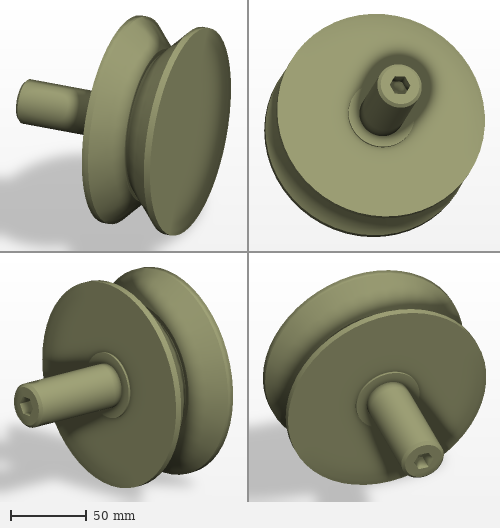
import cadquery as cq
import math

wheel_diameter = 140.0
wheel_width = 49.0
rim_width = 4.5
groove_floor_width = 3.1
groove_floor_radius = 48.5

overall_length = 120.0
shaft_diameter = 30.0
shaft_chamfer = 2.0
collar_diameter = 44.5
collar_thickness = 1.5

socket_across_flats = 12.0
socket_depth = 12.0
socket_tip_angle = 120.0

wheel_radius = wheel_diameter / 2
shaft_length = overall_length - wheel_width
shaft_end = -shaft_length


def cylinder(start_x, length, diameter):
    return cq.Workplane("YZ", origin=(start_x, 0, 0)).circle(diameter / 2).extrude(length)


def make_wheel():
    middle = wheel_width / 2
    floor_start = middle - groove_floor_width / 2
    floor_end = middle + groove_floor_width / 2
    flank_end_radius = wheel_radius - (floor_start - rim_width)
    profile = (
        cq.Workplane("XY")
        .moveTo(0, 0)
        .lineTo(0, wheel_radius)
        .lineTo(rim_width, wheel_radius)
        .lineTo(floor_start, flank_end_radius)
        .lineTo(floor_start, groove_floor_radius)
        .lineTo(floor_end, groove_floor_radius)
        .lineTo(floor_end, flank_end_radius)
        .lineTo(wheel_width - rim_width, wheel_radius)
        .lineTo(wheel_width, wheel_radius)
        .lineTo(wheel_width, 0)
        .close()
    )
    return profile.revolve(360, (0, 0, 0), (1, 0, 0))


def make_shaft():
    shaft = cylinder(shaft_end, shaft_length, shaft_diameter)
    return shaft.faces("<X").chamfer(shaft_chamfer)


def make_socket():
    across_corners = socket_across_flats / math.cos(math.pi / 6)
    start = cq.Workplane("YZ", origin=(shaft_end, 0, 0))
    hexagon = start.polygon(6, across_corners).extrude(socket_depth)
    tip_radius = socket_across_flats / 2
    tip_height = tip_radius / math.tan(math.radians(socket_tip_angle / 2))
    tip = cq.Workplane(
        cq.Solid.makeCone(
            tip_radius, 0, tip_height, cq.Vector(shaft_end + socket_depth, 0, 0), cq.Vector(1, 0, 0)
        )
    )
    return hexagon.union(tip)


collar = cylinder(-collar_thickness, collar_thickness, collar_diameter)
result = make_wheel().union(collar).union(make_shaft()).cut(make_socket())